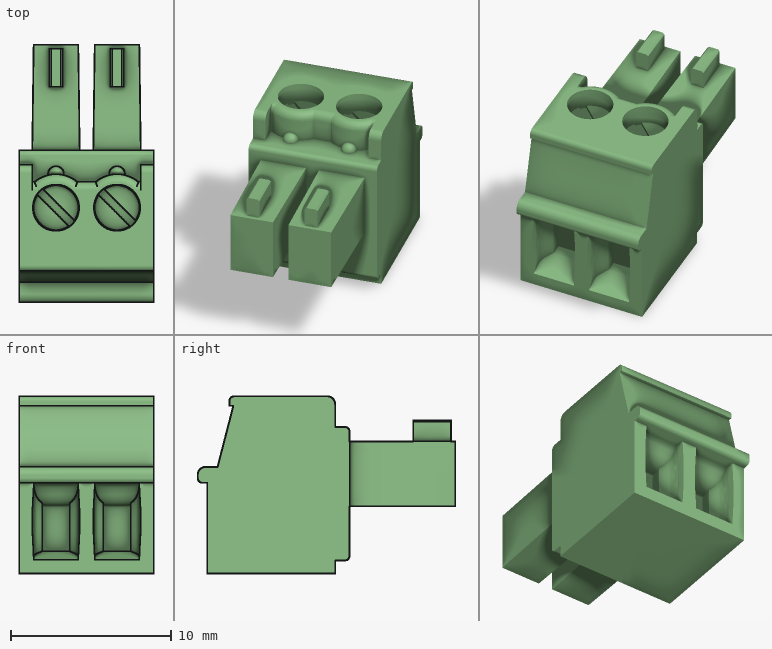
import cadquery as cq
import math


TOTAL_LENGTH = 16.1
WIDTH = 8.4
PITCH = 3.82
POLES_X = (-PITCH / 2, PITCH / 2)
HEIGHT = 11.1
DEPTH = 8.0
EDGE_RADIUS = 0.5
SMALL_RADIUS = 0.3

FLANGE_BACK = 8.9
FLANGE_BOTTOM = 0.82
FLANGE_TOP = 9.18

LIP_REACH = 0.6
LIP_BOTTOM = 5.67
LIP_TOP = 6.68

SLOPE_FOOT_Y = 0.65
SLOPE_HEAD_Y = 1.63
NOSE_Y = 1.38
NOSE_BOTTOM = 10.48

RECESS_HALF_WIDTH = 3.38
RECESS_FRONT = 6.92
SCREW_Y = 5.31
SCREW_WALL_RADIUS = 2.1
SCREW_HOLE_RADIUS = 1.45
SCREW_HOLE_DEPTH = 1.45
SCREW_HEAD_RADIUS = 1.4
SCREW_HEAD_HEIGHT = 0.2
SCREW_SLOT_WIDTH = 0.5
SCREW_SLOT_ANGLE = -45.0
DOME_RADIUS = 0.5

PLUG_BOTTOM = 4.2
PLUG_TOP = 8.28
PLUG_END = TOTAL_LENGTH - LIP_REACH
PLUG_ROOT_WIDTH = 2.98
PLUG_END_WIDTH = 2.8
TAB_FRONT = 12.86
TAB_BACK = 15.25
TAB_TOP = 9.6
TAB_WIDTH = 0.84
TAB_CHAMFER = 0.11

ENTRY_BOTTOM = 0.87
ENTRY_HALF_WIDTH = 1.38
ENTRY_BULGE_HALF_WIDTH = 1.48
ENTRY_BLEND_RADIUS = 0.97
FUNNEL_DEPTH = 1.77
TUNNEL_HALF_WIDTH = 0.85
TUNNEL_BOTTOM = 1.4
TUNNEL_TOP = 4.28
TUNNEL_END_RADIUS = 0.15
FUNNEL_SIDE_ANGLE = 37.0
SELECTION_MARGIN = 0.16
CEILING_SLOPE_ANGLE = 60.0
CEILING_SLOPE_TOP = 5.45
CEILING_SLOPE_BOTTOM = 4.93
CEILING_SLOPE_END_Y = 1.22



def extrude_across(profile, width):
    """Extrude a Y-Z profile by the width, centred on X = 0."""
    return profile.extrude(width / 2, both=True)


def block(x_size, y_range, z_range, x_centre=0.0):
    """Box centred on x_centre between the given Y and Z limits."""
    size = (x_size, y_range[1] - y_range[0], z_range[1] - z_range[0])
    corner = (x_centre - x_size / 2, y_range[0], z_range[0])
    return cq.Workplane("XY").box(*size, centered=False).translate(corner)


def make_housing():
    outline = (
        cq.Workplane("YZ")
        .moveTo(0, 0)
        .lineTo(0, LIP_BOTTOM)
        .lineTo(SMALL_RADIUS - LIP_REACH, LIP_BOTTOM)
        .radiusArc((-LIP_REACH, LIP_BOTTOM + SMALL_RADIUS), SMALL_RADIUS)
        .lineTo(-LIP_REACH, LIP_TOP - EDGE_RADIUS)
        .radiusArc((EDGE_RADIUS - LIP_REACH, LIP_TOP), EDGE_RADIUS)
        .lineTo(SLOPE_FOOT_Y, LIP_TOP)
        .lineTo(SLOPE_HEAD_Y, NOSE_BOTTOM)
        .lineTo(NOSE_Y, NOSE_BOTTOM)
        .lineTo(NOSE_Y, HEIGHT - SMALL_RADIUS)
        .radiusArc((NOSE_Y + SMALL_RADIUS, HEIGHT), SMALL_RADIUS)
        .lineTo(DEPTH - EDGE_RADIUS, HEIGHT)
        .radiusArc((DEPTH, HEIGHT - EDGE_RADIUS), EDGE_RADIUS)
        .lineTo(DEPTH, 0)
        .close()
    )
    flange = block(WIDTH, (DEPTH - EDGE_RADIUS, FLANGE_BACK), (FLANGE_BOTTOM, FLANGE_TOP))
    flange = flange.faces(">Y").edges("|X").fillet(SMALL_RADIUS)
    return extrude_across(outline, WIDTH).union(flange)


def make_recess():
    """Space above the flange, bounded at the front by a wall that bulges around each screw."""
    rounding_front = RECESS_FRONT - EDGE_RADIUS
    space = block(2 * RECESS_HALF_WIDTH, (rounding_front, DEPTH), (FLANGE_TOP, HEIGHT))
    wall = block(2 * RECESS_HALF_WIDTH, (SCREW_Y, RECESS_FRONT), (FLANGE_TOP, HEIGHT))
    wall = wall.faces(">Y").edges(">Z").fillet(EDGE_RADIUS)
    space = space.cut(wall)
    for x in POLES_X:
        screw_wall = (
            cq.Workplane("XY", origin=(x, SCREW_Y, FLANGE_TOP))
            .circle(SCREW_WALL_RADIUS)
            .extrude(HEIGHT - FLANGE_TOP)
            .faces(">Z")
            .edges()
            .fillet(EDGE_RADIUS)
        )
        space = space.cut(screw_wall)
    return space


def make_dome(x):
    """Ball that rises from the flange at the back of a screw wall."""
    dome_centre = (x, SCREW_Y + SCREW_WALL_RADIUS, FLANGE_TOP)
    ball = cq.Workplane("XY").sphere(DOME_RADIUS)
    return ball.rotate((0, 0, 0), (0, 0, 1), 90).translate(dome_centre)


def make_screw_hole(x):
    """Blind hole that leaves a slotted screw head standing on its floor."""
    floor = cq.Workplane("XY", origin=(x, SCREW_Y, HEIGHT - SCREW_HOLE_DEPTH))
    hole = floor.circle(SCREW_HOLE_RADIUS).extrude(SCREW_HOLE_DEPTH)
    head = floor.circle(SCREW_HEAD_RADIUS).extrude(SCREW_HEAD_HEIGHT)
    slot = (
        floor.transformed(rotate=(0, 0, SCREW_SLOT_ANGLE))
        .rect(2 * SCREW_HOLE_RADIUS, SCREW_SLOT_WIDTH)
        .extrude(SCREW_HEAD_HEIGHT)
    )
    return hole.cut(head.cut(slot))


def make_entry(x):
    """Wire funnel with bulged sides that narrows into a rectangular tunnel."""
    middle_z = (ENTRY_BOTTOM + LIP_BOTTOM) / 2
    bulged_mouth = (
        cq.Workplane("XZ")
        .moveTo(-ENTRY_HALF_WIDTH, ENTRY_BOTTOM)
        .lineTo(ENTRY_HALF_WIDTH, ENTRY_BOTTOM)
        .threePointArc((ENTRY_BULGE_HALF_WIDTH, middle_z), (ENTRY_HALF_WIDTH, LIP_BOTTOM))
        .lineTo(-ENTRY_HALF_WIDTH, LIP_BOTTOM)
        .threePointArc((-ENTRY_BULGE_HALF_WIDTH, middle_z), (-ENTRY_HALF_WIDTH, ENTRY_BOTTOM))
        .close()
        .extrude(-FUNNEL_DEPTH)
    )
    mouth_spread = FUNNEL_DEPTH * math.tan(math.radians(FUNNEL_SIDE_ANGLE))
    wedge = (
        cq.Workplane("XY")
        .moveTo(-TUNNEL_HALF_WIDTH, FUNNEL_DEPTH)
        .lineTo(TUNNEL_HALF_WIDTH, FUNNEL_DEPTH)
        .lineTo(TUNNEL_HALF_WIDTH + mouth_spread, 0)
        .lineTo(-TUNNEL_HALF_WIDTH - mouth_spread, 0)
        .close()
        .extrude(HEIGHT)
    )
    blend_edges = cq.selectors.BoxSelector(
        (-WIDTH, SELECTION_MARGIN, middle_z - SELECTION_MARGIN),
        (WIDTH, FUNNEL_DEPTH - SELECTION_MARGIN, middle_z + SELECTION_MARGIN),
    )
    funnel = bulged_mouth.intersect(wedge)
    funnel = funnel.edges(blend_edges).fillet(ENTRY_BLEND_RADIUS)

    slope = math.radians(CEILING_SLOPE_ANGLE)
    slope_start_y = CEILING_SLOPE_END_Y - (CEILING_SLOPE_TOP - CEILING_SLOPE_BOTTOM) / math.tan(slope)
    upper_radius = (LIP_BOTTOM - CEILING_SLOPE_TOP) / (1 - math.cos(slope))
    level_end_y = slope_start_y - upper_radius * math.sin(slope)
    lower_radius = (CEILING_SLOPE_BOTTOM - TUNNEL_TOP) / (1 - math.cos(slope))
    lower_arc_end_y = CEILING_SLOPE_END_Y + lower_radius * math.sin(slope)
    tunnel_end = lower_arc_end_y + TUNNEL_END_RADIUS
    side_profile = (
        cq.Workplane("YZ")
        .moveTo(0, ENTRY_BOTTOM)
        .lineTo(0, LIP_BOTTOM)
        .lineTo(level_end_y, LIP_BOTTOM)
        .radiusArc((slope_start_y, CEILING_SLOPE_TOP), upper_radius)
        .lineTo(CEILING_SLOPE_END_Y, CEILING_SLOPE_BOTTOM)
        .radiusArc((lower_arc_end_y, TUNNEL_TOP), -lower_radius)
        .radiusArc((tunnel_end, TUNNEL_TOP - TUNNEL_END_RADIUS), TUNNEL_END_RADIUS)
        .lineTo(tunnel_end, TUNNEL_BOTTOM)
        .lineTo(FUNNEL_DEPTH, TUNNEL_BOTTOM)
        .close()
    )
    tunnel = block(2 * TUNNEL_HALF_WIDTH, (FUNNEL_DEPTH, tunnel_end), (0, HEIGHT))
    passage = funnel.union(tunnel).intersect(extrude_across(side_profile, WIDTH))
    return passage.translate((x, 0, 0))


def make_plug(x):
    """Plug that tapers in width towards its end, with a coding tab on top."""
    plug = (
        cq.Workplane("XY", origin=(x, 0, PLUG_BOTTOM))
        .moveTo(-PLUG_ROOT_WIDTH / 2, FLANGE_BACK)
        .lineTo(PLUG_ROOT_WIDTH / 2, FLANGE_BACK)
        .lineTo(PLUG_END_WIDTH / 2, PLUG_END)
        .lineTo(-PLUG_END_WIDTH / 2, PLUG_END)
        .close()
        .extrude(PLUG_TOP - PLUG_BOTTOM)
    )
    tab = block(TAB_WIDTH, (TAB_FRONT, TAB_BACK), (PLUG_TOP, TAB_TOP), x)
    tab = tab.faces(">Z").edges("|Y").chamfer(TAB_CHAMFER)
    return plug.union(tab)


result = make_housing().cut(make_recess())
for pole_x in POLES_X:
    result = result.union(make_dome(pole_x)).union(make_plug(pole_x))
    result = result.cut(make_screw_hole(pole_x)).cut(make_entry(pole_x))